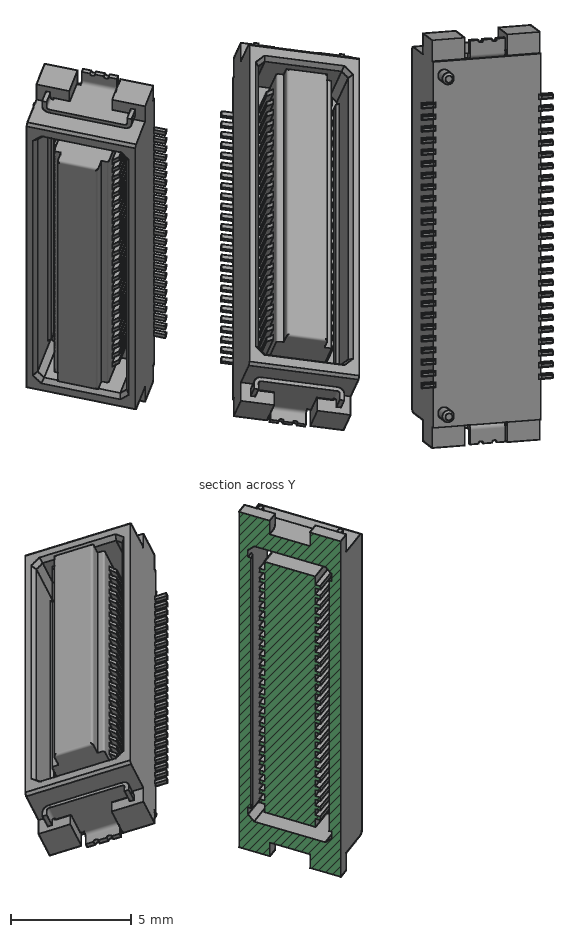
import cadquery as cq


TOTAL_LENGTH = 17.5
BODY_WIDTH = 4.7
BODY_LENGTH = 15.7
BODY_DEPTH = 2.9
END_BEVEL_Z = 0.12
END_BEVEL_Y = 0.12

EAR_GAP = 1.85
EAR_BACK = 0.14
EAR_FRONT = 1.4
EAR_RELIEF = 0.1

CAVITY_WIDTH = 3.85
CAVITY_LENGTH = 14.32
CAVITY_CORNER = 0.28
FLOOR_THICKNESS = 0.7
LEAD_IN = 0.15
LEAD_IN_DEPTH = 0.21
LEDGE_WIDTH = 0.12
LEDGE_DEPTH = 1.05

TONGUE_LENGTH = 13.07
TONGUE_WIDTH = 2.36
SHOULDER_DEPTH = 2.85
SHOULDER_FILLET = 0.09
BLADE_WIDTH = 1.75
TONGUE_DEPTH = 3.4
TIP_FILLET = 0.1

CONTACTS_PER_SIDE = 25
CONTACT_ROW_LENGTH = 12.0
CONTACT_PITCH = CONTACT_ROW_LENGTH / (CONTACTS_PER_SIDE - 1)
CONTACT_SIZE = 0.21
TAIL_SPAN = 5.7
TAIL_ROOT = 0.1
TAIL_BEVEL = 0.05
SPRING_SPAN = 2.82
SPRING_KNEE = 2.03
SPRING_TIP = 2.31

SHEET = 0.2
PLATE_BACK = 0.26
PLATE_FRONT = 2.0
HOOK_SPAN = 3.87
HOOK_TIP = 8.45
HOOK_BEND_RADIUS = 0.12
TAB_WIDTH = 1.52
TAB_TIP = 8.66
TAB_BEND_RADIUS = 0.15
NOTCH_RADIUS = 0.1
NOTCH_SPACING = 0.6

PEG_DIAMETER = 0.5
PEG_LENGTH = 0.7
PEG_BEVEL = 0.1
PEG_X = 1.89
PEG_SPACING = 14.49


def block(x_range, y_range, z_range):
    """Box spanning the given (low, high) ranges."""
    lows, highs = zip(x_range, y_range, z_range)
    sizes = [high - low for low, high in zip(lows, highs)]
    return cq.Workplane("XY").box(*sizes, centered=False).translate(lows)


def centered_range(size):
    return (-size / 2, size / 2)


def both_ends(solid):
    """The solid together with its mirror image at the other Z end."""
    return solid.union(solid.mirror("XY"))


def octagon(width, length, corner, y):
    """Rectangle with cut corners, drawn in the plane at the given Y."""
    half_w, half_l = width / 2, length / 2
    points = [
        (half_w, half_l - corner),
        (half_w - corner, half_l),
        (corner - half_w, half_l),
        (-half_w, half_l - corner),
        (-half_w, corner - half_l),
        (corner - half_w, -half_l),
        (half_w - corner, -half_l),
        (half_w, corner - half_l),
    ]
    return cq.Workplane("XZ", origin=(0, y, 0)).polyline(points).close()


def make_housing():
    half_l = BODY_LENGTH / 2
    points = [
        (0, -half_l),
        (0, half_l),
        (END_BEVEL_Y - BODY_DEPTH, half_l),
        (-BODY_DEPTH, half_l - END_BEVEL_Z),
        (-BODY_DEPTH, END_BEVEL_Z - half_l),
        (END_BEVEL_Y - BODY_DEPTH, -half_l),
    ]
    return cq.Workplane("YZ").polyline(points).close().extrude(BODY_WIDTH / 2, both=True)


def make_ears():
    """Two ears on the upper end, each relieved above the hold-down plate."""
    ear_side = (EAR_GAP / 2, BODY_WIDTH / 2)
    z_range = (BODY_LENGTH / 2, TOTAL_LENGTH / 2)
    ear = block(ear_side, (-EAR_FRONT, -EAR_BACK), z_range)
    plate_top = BODY_LENGTH / 2 + SHEET
    relief_length = HOOK_SPAN / 2 - SHEET - HOOK_BEND_RADIUS - EAR_GAP / 2
    relief = (
        cq.Workplane("YZ", origin=(EAR_GAP / 2, 0, 0))
        .polyline([
            (-EAR_FRONT, plate_top),
            (EAR_RELIEF - EAR_FRONT, plate_top),
            (-EAR_FRONT, plate_top + EAR_RELIEF),
        ])
        .close()
        .extrude(relief_length)
    )
    ear = ear.cut(relief)
    return ear.union(ear.mirror("YZ"))


def make_cavity():
    """Cavity with a tapered mouth."""
    well = octagon(CAVITY_WIDTH, CAVITY_LENGTH, CAVITY_CORNER, -FLOOR_THICKNESS)
    well = well.extrude(BODY_DEPTH - FLOOR_THICKNESS)
    mouth_corner = CAVITY_CORNER + LEAD_IN * (2 - 2 ** 0.5)
    inner = octagon(CAVITY_WIDTH, CAVITY_LENGTH, CAVITY_CORNER, LEAD_IN_DEPTH - BODY_DEPTH)
    outer = octagon(CAVITY_WIDTH + 2 * LEAD_IN, CAVITY_LENGTH + 2 * LEAD_IN, mouth_corner, -BODY_DEPTH)
    mouth = cq.Solid.makeLoft([inner.wires().val(), outer.wires().val()], True)
    return well.union(cq.Workplane(mouth))


def make_ledges():
    """Ledges with sloped tops along both side walls, as long as the tongue."""
    wall = CAVITY_WIDTH / 2
    ledge = (
        cq.Workplane("XY", origin=(0, 0, -TONGUE_LENGTH / 2))
        .polyline([
            (wall - LEDGE_WIDTH, -FLOOR_THICKNESS),
            (wall - LEDGE_WIDTH, -LEDGE_DEPTH),
            (wall, -LEDGE_DEPTH - LEDGE_WIDTH),
            (wall, -FLOOR_THICKNESS),
        ])
        .close()
        .extrude(TONGUE_LENGTH)
    )
    return ledge.union(ledge.mirror("YZ"))


def make_tongue():
    z_range = centered_range(TONGUE_LENGTH)
    base = block(centered_range(TONGUE_WIDTH), (-SHOULDER_DEPTH, -FLOOR_THICKNESS), z_range)
    base = base.faces("<Y").edges("|Z").fillet(SHOULDER_FILLET)
    blade = block(centered_range(BLADE_WIDTH), (-TONGUE_DEPTH, -FLOOR_THICKNESS), z_range)
    blade = blade.faces("<Y").edges().fillet(TIP_FILLET)
    return base.union(blade)


def make_contact_pair():
    """Left and right contacts centred on Z = 0: a solder tail and a spring beside the tongue."""
    half = CONTACT_SIZE / 2
    tail_inner = BODY_WIDTH / 2 - TAIL_ROOT
    tail = (
        cq.Workplane("XY", origin=(0, 0, -half))
        .polyline([
            (tail_inner, -half),
            (TAIL_SPAN / 2, -half),
            (TAIL_SPAN / 2, half),
            (BODY_WIDTH / 2, half),
            (tail_inner, 0),
        ])
        .close()
        .extrude(CONTACT_SIZE)
        .faces(">Y")
        .edges("|X")
        .chamfer(TAIL_BEVEL)
    )
    spring_out = SPRING_SPAN / 2
    spring_in = TONGUE_WIDTH / 2
    spring = (
        cq.Workplane("XY", origin=(0, 0, -half))
        .polyline([
            (spring_in, -FLOOR_THICKNESS),
            (spring_out, -FLOOR_THICKNESS),
            (spring_out, -SPRING_KNEE),
            (spring_in, -SPRING_TIP),
        ])
        .close()
        .extrude(CONTACT_SIZE)
    )
    pieces = [tail.val(), spring.val()]
    return pieces + [piece.mirror("YZ") for piece in pieces]


def make_contacts():
    pair = make_contact_pair()
    contacts = []
    for index in range(CONTACTS_PER_SIDE):
        z = index * CONTACT_PITCH - CONTACT_ROW_LENGTH / 2
        contacts += [piece.translate(cq.Vector(0, 0, z)) for piece in pair]
    return contacts


def make_hook_plate():
    """Plate lying on the upper end, with both sides bent up into hooks."""
    bottom = BODY_LENGTH / 2
    depth = (-PLATE_FRONT, -PLATE_BACK)
    outer = block(centered_range(HOOK_SPAN), depth, (bottom, HOOK_TIP))
    outer = outer.faces("<Z").edges("|Y").fillet(HOOK_BEND_RADIUS + SHEET)
    inner = block(centered_range(HOOK_SPAN - 2 * SHEET), depth, (bottom + SHEET, HOOK_TIP))
    inner = inner.faces("<Z").edges("|Y").fillet(HOOK_BEND_RADIUS)
    return outer.cut(inner)


def make_back_tab():
    """Tab bent up from the plate at the back, with two round notches in its tip."""
    bottom = BODY_LENGTH / 2
    tab_back = SHEET / 2
    profile = [
        (-PLATE_BACK - SHEET, bottom),
        (tab_back, bottom),
        (tab_back, TAB_TIP),
        (tab_back - SHEET, TAB_TIP),
        (tab_back - SHEET, bottom + SHEET),
        (-PLATE_BACK - SHEET, bottom + SHEET),
    ]
    inner_bend = cq.selectors.NearestToPointSelector((0, tab_back - SHEET, bottom + SHEET))
    outer_bend = cq.selectors.NearestToPointSelector((0, tab_back, bottom))
    tab = cq.Workplane("YZ").polyline(profile).close().extrude(TAB_WIDTH / 2, both=True)
    tab = tab.edges(inner_bend).fillet(TAB_BEND_RADIUS)
    tab = tab.edges(outer_bend).fillet(SHEET)
    notches = (
        cq.Workplane("XZ")
        .pushPoints([(-NOTCH_SPACING / 2, TAB_TIP), (NOTCH_SPACING / 2, TAB_TIP)])
        .circle(NOTCH_RADIUS)
        .extrude(SHEET, both=True)
    )
    return tab.cut(notches)


def make_peg():
    return (
        cq.Workplane("XZ", origin=(PEG_X, 0, PEG_SPACING / 2))
        .circle(PEG_DIAMETER / 2)
        .extrude(-PEG_LENGTH)
        .faces(">Y")
        .chamfer(PEG_BEVEL)
    )


housing = make_housing().cut(make_cavity()).union(make_ledges()).union(make_tongue())
upper_end = make_ears().union(make_hook_plate()).union(make_back_tab()).union(make_peg())
result = housing.union(both_ends(upper_end))
result = cq.Workplane(result.val().fuse(*make_contacts()).clean())